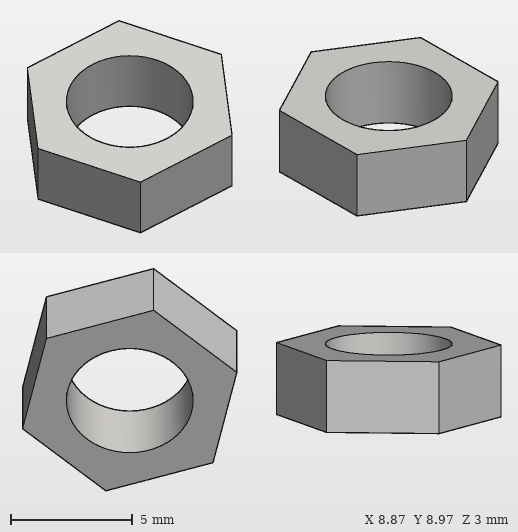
import cadquery as cq
import math

across_flats = 8.0
hole_diameter = 5.2
thickness = 3.0
corner_angle = -16.2

side_count = 6
across_corners = across_flats / math.cos(math.pi / side_count)


def hexagonal_body():
    """Hexagonal prism standing on the XY plane, turned about Z."""
    prism = cq.Workplane("XY").polygon(side_count, across_corners).extrude(thickness)
    return prism.rotate((0, 0, 0), (0, 0, 1), corner_angle)


def cut_centre_hole(body):
    """Plain round hole along Z through the whole thickness."""
    return body.faces(">Z").workplane(origin=(0, 0, thickness)).hole(hole_diameter)


result = cut_centre_hole(hexagonal_body())